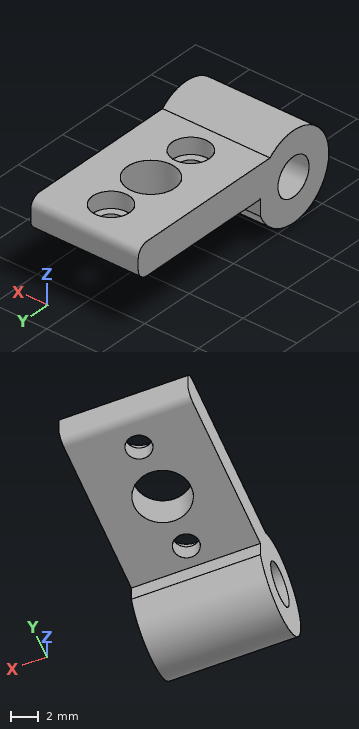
import cadquery as cq
import math

width = 10.0
barrel_radius = 4.0
pin_hole_diameter = 3.5
leaf_thickness = 3.0
leaf_reach = 17.5
leaf_edge_radius = 1.0
heel_offset = 3.7

screw_hole_diameter = 2.0
counterbore_diameter = 3.4
counterbore_depth = 1.5
center_hole_diameter = 4.4
center_hole_y = 10.0
screw_spacing = 9.0

leaf_top_y = math.sqrt(barrel_radius**2 - leaf_thickness**2)
heel_bottom_z = -math.sqrt(barrel_radius**2 - heel_offset**2)


def make_body():
    """Hinge leaf and barrel, extruded from one YZ outline centred on X."""
    return (
        cq.Workplane("YZ")
        .moveTo(leaf_top_y, leaf_thickness)
        .lineTo(leaf_reach, leaf_thickness)
        .lineTo(leaf_reach, 0)
        .lineTo(heel_offset, 0)
        .lineTo(heel_offset, heel_bottom_z)
        .threePointArc((-barrel_radius, 0), (leaf_top_y, leaf_thickness))
        .close()
        .extrude(width / 2, both=True)
    )


def round_free_end(body):
    """Round the upper and lower edges of the leaf's free end."""
    return body.faces(">Y").edges("|X").fillet(leaf_edge_radius)


def cut_pin_hole(body):
    """Bore the pin hole through the barrel along X."""
    pin = cq.Workplane("YZ").circle(pin_hole_diameter / 2).extrude(width / 2, both=True)
    return body.cut(pin)


def cut_leaf_holes(body):
    """Cut the large central hole and the counterbored screw holes on either side."""
    leaf_top = cq.Workplane("XY", origin=(0, center_hole_y, leaf_thickness))
    body = body.cut(leaf_top.circle(center_hole_diameter / 2).extrude(-leaf_thickness))
    for side in (-1, 1):
        screw_top = leaf_top.center(0, side * screw_spacing / 2)
        body = body.cut(screw_top.circle(screw_hole_diameter / 2).extrude(-leaf_thickness))
        body = body.cut(screw_top.circle(counterbore_diameter / 2).extrude(-counterbore_depth))
    return body


result = cut_leaf_holes(cut_pin_hole(round_free_end(make_body())))